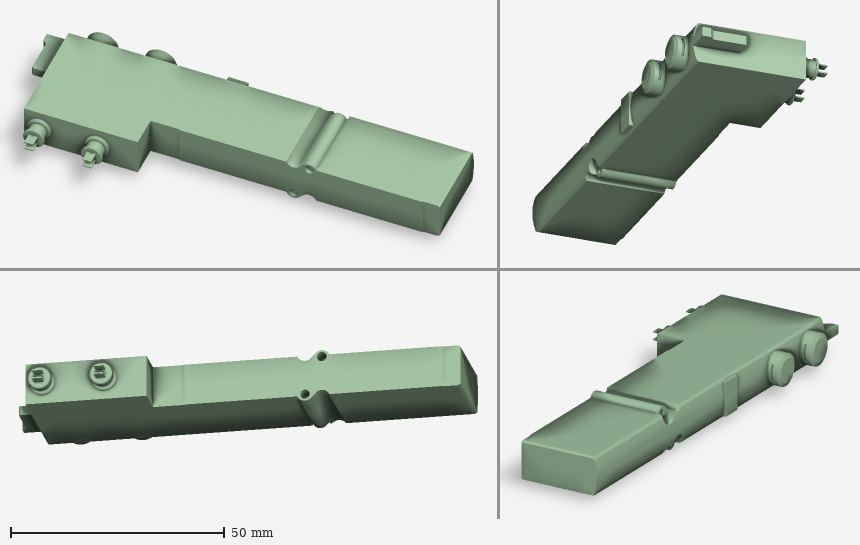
import cadquery as cq
import math

total_length = 108.5
body_height = 10.0
half_height = body_height / 2
body_x0 = 6.1
wide_end_x = 35.0
relief_x = (42.5, 104.3)
narrow_front_y = 7.5
relief_step = 0.2
chamfer_y = 27.1
back_chamfer_y, back_chamfer_z = 0.5, 0.7
back_crown_y = 28.4
end_chamfer_x = 0.7
end_chamfer_z = 0.3

hump_dia = 3.9
bore_dia = 2.3
throat_dia = 1.7
bore_depth = 4.3
counterbore_dia = 4.5
counterbore_y = 26.0
rod_x_left, rod_x_right = 71.4, 75.4
hump_inset = 0.8
bore_inset = 0.4

tab_thickness = 2.3
tab_y = (16.7, back_crown_y)
tab_lip_y = 26.4
tab_lip_depth = 1.1
tab_corner = 0.3

station_pitch = 14.8
pin_x = 10.1
knob_x = 13.2
flange_dia, flange_length, flange_chamfer = 6.1, 0.9, 0.3
neck_dia, neck_end = 4.5, 3.3
cap_dia, cap_end, cap_chamfer = 5.3, 3.9, 0.2
blade_end = 6.6
blade_width, blade_thickness, blade_offset = 2.3, 0.3, 1.0

knob_dia, knob_end = 8.1, 31.6
knob_rim_width, knob_rim_drop = 1.1, 0.5
knob_root_y = 27.1
slot_y, slot_width, slot_depth, slot_span = 29.3, 0.7, 0.5, 4.6

label_x = (46.0, 51.1)
label_y = 28.8
label_height = body_height - 2 * back_chamfer_z


def block(x0, x1, y0, y1, z0, z1):
    """Axis-aligned box given by its limits."""
    return cq.Workplane("XY").box(x1 - x0, y1 - y0, z1 - z0, centered=False).translate((x0, y0, z0))


def rod(x, z, diameter, y0, y1):
    """Cylinder along Y."""
    return cq.Workplane("XZ", origin=(x, y0, z)).circle(diameter / 2).extrude(y0 - y1)


def turned(x, outline):
    """Solid of revolution about the Y line at x; outline lists (radius, y) points."""
    return (
        cq.Workplane("XY", origin=(x, 0, 0))
        .polyline(outline)
        .close()
        .revolve(360, (0, 0, 0), (0, 1, 0))
    )


def make_body():
    """Stepped body with a chamfered, crowned back and a chamfered right end."""
    chamfer_end_y = chamfer_y + back_chamfer_y
    chamfer_end_z = half_height - back_chamfer_z
    section = (
        cq.Workplane("YZ", origin=(body_x0, 0, 0))
        .moveTo(0, -half_height)
        .lineTo(chamfer_y, -half_height)
        .lineTo(chamfer_end_y, -chamfer_end_z)
        .threePointArc((back_crown_y, 0), (chamfer_end_y, chamfer_end_z))
        .lineTo(chamfer_y, half_height)
        .lineTo(0, half_height)
        .close()
        .extrude(total_length - body_x0)
    )
    plan = (
        cq.Workplane("XY", origin=(0, 0, -half_height))
        .moveTo(body_x0, 0)
        .lineTo(wide_end_x, 0)
        .lineTo(wide_end_x, narrow_front_y + relief_step)
        .lineTo(relief_x[0], narrow_front_y + relief_step)
        .lineTo(relief_x[0], narrow_front_y)
        .lineTo(relief_x[1], narrow_front_y)
        .lineTo(relief_x[1], narrow_front_y + relief_step)
        .lineTo(total_length, narrow_front_y + relief_step)
        .lineTo(total_length, back_crown_y)
        .lineTo(body_x0, back_crown_y)
        .close()
        .extrude(body_height)
    )
    end_start = total_length - end_chamfer_x
    end_z = half_height - end_chamfer_z
    side_profile = (
        cq.Workplane("XZ")
        .moveTo(body_x0, -half_height)
        .lineTo(end_start, -half_height)
        .lineTo(total_length, -end_z)
        .lineTo(total_length, end_z)
        .lineTo(end_start, half_height)
        .lineTo(body_x0, half_height)
        .close()
        .extrude(-back_crown_y)
    )
    return section.intersect(plan).intersect(side_profile)


def prism(points, y0, y1):
    """Polygon of (x, z) points extruded along Y."""
    return cq.Workplane("XZ", origin=(0, y0, 0)).polyline(points).close().extrude(y0 - y1)


def add_tie_rod(body, hump_x, groove_x, side):
    """Hump with bore on one face (side +1 top, -1 bottom), and the groove next to it."""
    radius = hump_dia / 2
    hump_z = side * (half_height - hump_inset)
    groove_z = side * (half_height + hump_inset)
    bore_z = side * (half_height - bore_inset)

    toward = math.copysign(1, groove_x - hump_x)
    span = abs(groove_x - hump_x)
    rise = 2 * hump_inset
    slope = math.asin(hump_dia / math.hypot(span, rise)) - math.atan2(rise, span)
    offset_x = toward * radius * math.sin(slope)
    offset_z = side * radius * math.cos(slope)
    crest = (hump_x + offset_x, hump_z + offset_z)
    foot = (groove_x - offset_x, groove_z - offset_z)
    under_flank = prism(
        [crest, foot, (hump_x, foot[1]), (hump_x, crest[1])], narrow_front_y, counterbore_y
    )
    over_flank = prism(
        [foot, crest, (groove_x, crest[1]), (groove_x, foot[1])], narrow_front_y, back_crown_y
    )

    body = body.cut(rod(groove_x, groove_z, hump_dia, narrow_front_y, back_crown_y))
    body = body.cut(over_flank)
    body = body.union(rod(hump_x, hump_z, hump_dia, narrow_front_y, counterbore_y))
    body = body.union(under_flank)
    body = body.cut(rod(hump_x, bore_z, bore_dia, narrow_front_y, narrow_front_y + bore_depth))
    body = body.cut(rod(hump_x, bore_z, throat_dia, narrow_front_y, back_crown_y))
    return body.cut(rod(hump_x, hump_z, counterbore_dia, counterbore_y, back_crown_y))


def make_tab():
    """Thin finger tab with a hooked lip at its back corner."""
    return (
        cq.Workplane("XY", origin=(0, 0, -tab_thickness / 2))
        .moveTo(0, tab_y[1])
        .lineTo(0, tab_lip_y)
        .lineTo(tab_lip_depth, tab_lip_y - tab_lip_depth)
        .lineTo(tab_lip_depth, tab_y[0] + tab_corner)
        .lineTo(tab_lip_depth + tab_corner, tab_y[0])
        .lineTo(body_x0, tab_y[0])
        .lineTo(body_x0, tab_y[1])
        .close()
        .extrude(tab_thickness)
    )


def make_pin(x):
    """Round plug with a base flange, a neck, an end cap and two flat blades."""
    pin = turned(x, [
        (0, 0),
        (flange_dia / 2, 0),
        (flange_dia / 2, -flange_length + flange_chamfer),
        (flange_dia / 2 - flange_chamfer, -flange_length),
        (neck_dia / 2, -flange_length),
        (neck_dia / 2, -neck_end),
        (cap_dia / 2, -neck_end),
        (cap_dia / 2, -cap_end + cap_chamfer),
        (cap_dia / 2 - cap_chamfer, -cap_end),
        (0, -cap_end),
    ])
    for z in (-blade_offset, blade_offset):
        pin = pin.union(block(
            x - blade_width / 2, x + blade_width / 2, -blade_end, -cap_end,
            z - blade_thickness / 2, z + blade_thickness / 2,
        ))
    return pin


def make_knob(x):
    """Round knob with a bevelled rim and a short slot in each side."""
    radius = knob_dia / 2
    knob = turned(x, [
        (0, knob_root_y),
        (radius, knob_root_y),
        (radius, knob_end - knob_rim_drop),
        (radius - knob_rim_width, knob_end),
        (0, knob_end),
    ])
    slot_end_y = slot_y + slot_width
    ring = rod(x, 0, knob_dia, slot_y, slot_end_y)
    ring = ring.cut(rod(x, 0, knob_dia - 2 * slot_depth, slot_y, slot_end_y))
    sides = block(x - radius, x + radius, slot_y, slot_end_y, -slot_span / 2, slot_span / 2)
    return knob.cut(ring.intersect(sides))


result = make_body()
result = add_tie_rod(result, rod_x_right, rod_x_left, 1)
result = add_tie_rod(result, rod_x_left, rod_x_right, -1)
result = result.union(make_tab())
result = result.union(block(*label_x, chamfer_y, label_y, -label_height / 2, label_height / 2))
for shift in (0, station_pitch):
    result = result.union(make_pin(pin_x + shift))
    result = result.union(make_knob(knob_x + shift))